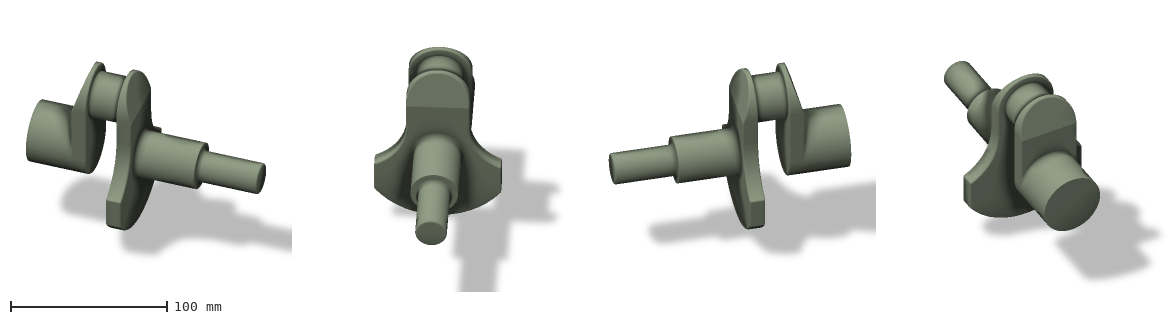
import cadquery as cq
import math

big_journal_diameter = 40.64
big_journal_length = 40.64
crank_pin_diameter = 30.48
crank_pin_length = 20.32
crank_throw = 40.64
web_thickness = 10.16
main_shaft_diameter = 30.48
main_shaft_length = 40.64
tail_diameter = 20.32
tail_length = 40.64

counterweight_radius = 50.8
counterweight_width = 81.28
counterweight_shoulder_z = -10.16
waist_z = 20.32

taper_start_z = 38.1
taper_depth = 7.0

edge_radius = 1.016
big_journal_root_radius = 1.016
main_shaft_root_radius = 2.032
tail_root_radius = 2.032
tail_end_radius = 1.27

big_journal_radius = big_journal_diameter / 2
main_shaft_radius = main_shaft_diameter / 2
tail_radius = tail_diameter / 2
web_tip_radius = big_journal_radius
web_top_z = crank_throw + web_tip_radius
half_width = counterweight_width / 2
arc_middle_fraction = 1 - math.sqrt(0.5)

first_web_outer_x = big_journal_length - web_thickness
first_web_inner_x = big_journal_length
second_web_inner_x = first_web_inner_x + crank_pin_length
second_web_outer_x = second_web_inner_x + web_thickness
shaft_end_x = second_web_outer_x + main_shaft_length
tail_end_x = shaft_end_x + tail_length


def cylinder(start_x, end_x, radius, axis_z=0):
    """Solid cylinder along X between two stations."""
    return (
        cq.Workplane("YZ", origin=(start_x, 0, axis_z))
        .circle(radius)
        .extrude(end_x - start_x)
    )


def root_fillet(face_x, shaft_radius, fillet_radius):
    """Concave ring in the corner where a shaft leaves the face at face_x toward +X."""
    outer_radius = shaft_radius + fillet_radius
    run_out_x = face_x + fillet_radius
    arc_offset = fillet_radius * arc_middle_fraction
    arc_middle = (face_x + arc_offset, shaft_radius + arc_offset)
    core_radius = shaft_radius - fillet_radius
    buried_x = face_x - fillet_radius
    return (
        cq.Workplane("XZ")
        .moveTo(buried_x, core_radius)
        .lineTo(run_out_x, core_radius)
        .lineTo(run_out_x, shaft_radius)
        .threePointArc(arc_middle, (face_x, outer_radius))
        .lineTo(buried_x, outer_radius)
        .close()
        .revolve(360, (0, 0, 0), (1, 0, 0))
    )


def slot_prism(start_x, length):
    """Prism along X with the arm outline: journal-wide, round at both ends."""
    return (
        cq.Workplane("YZ", origin=(start_x, 0, 0))
        .moveTo(-web_tip_radius, 0)
        .lineTo(-web_tip_radius, crank_throw)
        .threePointArc((0, web_top_z), (web_tip_radius, crank_throw))
        .lineTo(web_tip_radius, 0)
        .threePointArc((0, -web_tip_radius), (-web_tip_radius, 0))
        .close()
        .extrude(length)
    )


def make_arm(inner_x, outward):
    """Slot-shaped arm from shaft to pin, thinned toward its top on the outer side.

    outward is the sign of X that leads from the inner face to the outer face.
    """
    slab = slot_prism(inner_x, outward * web_thickness)
    slab = slab.faces("<X or >X").edges().fillet(edge_radius)

    prism_depth = 4 * web_thickness
    slope = taper_depth / (web_top_z - taper_start_z)
    outer_x = inner_x + outward * web_thickness
    upper_z = web_top_z + web_thickness
    lower_z = -web_tip_radius - web_thickness
    upper_x = outer_x - outward * slope * (upper_z - taper_start_z)
    lower_x = outer_x + outward * slope * (taper_start_z - lower_z)
    far_x = inner_x + outward * 2 * prism_depth
    beyond_taper = (
        cq.Workplane("XZ")
        .polyline([(upper_x, upper_z), (lower_x, lower_z), (far_x, lower_z), (far_x, upper_z)])
        .close()
        .extrude(counterweight_width, both=True)
    )
    sloped_face = cq.selectors.ParallelDirSelector(cq.Vector(outward, 0, slope))
    prism = slot_prism(inner_x, outward * prism_depth)
    wedge = prism.cut(beyond_taper).faces(sloped_face).edges().fillet(edge_radius)
    return slab.intersect(wedge)


def make_counterweight():
    """Plate that flares from the neck through concave flanks; square on top, where the arm joins."""
    neck_y = web_tip_radius
    flare = half_width - neck_y
    drop = waist_z - counterweight_shoulder_z
    flank_radius = (flare**2 + drop**2) / (2 * flare)
    flank_half_angle = math.asin(drop / flank_radius) / 2
    flank_mid_y = neck_y + flank_radius * (1 - math.cos(flank_half_angle))
    flank_mid_z = waist_z - flank_radius * math.sin(flank_half_angle)
    corner_z = -math.sqrt(counterweight_radius**2 - half_width**2)
    plate = (
        cq.Workplane("YZ", origin=(second_web_inner_x, 0, 0))
        .moveTo(-neck_y, waist_z)
        .lineTo(neck_y, waist_z)
        .threePointArc((flank_mid_y, flank_mid_z), (half_width, counterweight_shoulder_z))
        .lineTo(half_width, corner_z)
        .threePointArc((0, -counterweight_radius), (-half_width, corner_z))
        .lineTo(-half_width, counterweight_shoulder_z)
        .threePointArc((-flank_mid_y, flank_mid_z), (-neck_y, waist_z))
        .close()
        .extrude(web_thickness)
    )
    plate = plate.edges("|X").edges("<Y or >Y").fillet(edge_radius)
    return plate.faces("<X or >X").edges("not(>Z)").fillet(edge_radius)


def make_second_web():
    """Counterweight plate topped by the tapered upper part of an arm."""
    arm = make_arm(second_web_inner_x, 1)
    above_waist = cq.Workplane("XY", origin=(0, 0, waist_z)).box(
        2 * tail_end_x, counterweight_width, web_top_z, centered=(True, True, False)
    )
    return arm.intersect(above_waist).union(make_counterweight())


def make_big_journal():
    """Journal whose root fillet only exists where the web stands above it."""
    buried_x = first_web_inner_x - edge_radius
    run_out_x = first_web_outer_x - big_journal_root_radius
    outer_radius = big_journal_radius + big_journal_root_radius
    arc_offset = big_journal_root_radius * arc_middle_fraction
    arc_middle = (first_web_outer_x - arc_offset, big_journal_radius + arc_offset)
    sector_angle = 2 * math.degrees(math.asin(web_tip_radius / outer_radius))
    sector = (
        cq.Workplane("XZ")
        .lineTo(0, big_journal_radius)
        .lineTo(run_out_x, big_journal_radius)
        .threePointArc(arc_middle, (first_web_outer_x, outer_radius))
        .lineTo(buried_x, outer_radius)
        .lineTo(buried_x, 0)
        .close()
        .revolve(sector_angle, (0, 0, 0), (1, 0, 0))
        .rotate((0, 0, 0), (1, 0, 0), -sector_angle / 2)
    )
    plain = (
        cq.Workplane("XZ")
        .lineTo(0, big_journal_radius)
        .lineTo(buried_x, big_journal_radius)
        .lineTo(buried_x, 0)
        .close()
        .revolve(360 - sector_angle, (0, 0, 0), (1, 0, 0))
        .rotate((0, 0, 0), (1, 0, 0), sector_angle / 2)
    )
    return sector.union(plain)


def make_main_shaft():
    """Shaft behind the second web, with its root fillet."""
    shaft = cylinder(second_web_outer_x, shaft_end_x, main_shaft_radius)
    return shaft.union(root_fillet(second_web_outer_x, main_shaft_radius, main_shaft_root_radius))


def make_tail():
    """Thin end of the shaft, rounded at its tip and filleted at its root."""
    tail = cylinder(shaft_end_x, tail_end_x, tail_radius).faces(">X").edges().fillet(tail_end_radius)
    return tail.union(root_fillet(shaft_end_x, tail_radius, tail_root_radius))


crank_pin = cylinder(first_web_inner_x, second_web_inner_x, crank_pin_diameter / 2, crank_throw)

result = (
    make_arm(first_web_inner_x, -1)
    .union(make_big_journal())
    .union(crank_pin)
    .union(make_second_web())
    .union(make_main_shaft())
    .union(make_tail())
)